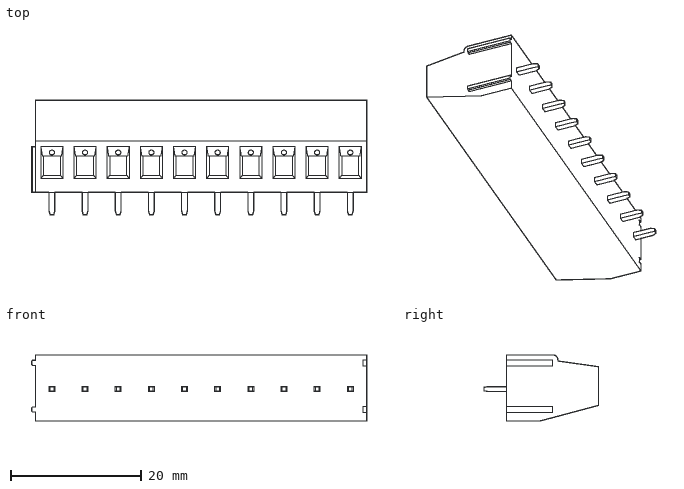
import cadquery as cq

OVERALL_LENGTH = 51.4
RIB_OUT = 0.55
LENGTH = OVERALL_LENGTH - RIB_OUT
CELL_COUNT = 10
CELL_PITCH = LENGTH / CELL_COUNT
DEPTH = 14.15
HEIGHT = 10.2

SHOULDER_Y = 7.9
SHOULDER_RADIUS = 0.75
SHOULDER_DROP = 0.9
BACK_TOP_Z = 8.4
BACK_BOTTOM_Z = 2.4
UNDERSIDE_FLAT = 5.1

RIB_HEIGHT = 0.8
RIB_LENGTH = 7.05
RIB_CHAMFER = 0.15
RIB_LEVELS = (1.8, 8.95)
SLOT_CLEARANCE = 0.05

POCKET_WIDTH = 3.4
POCKET_FRONT_Y = 2.15
POCKET_BACK_Y = 7.05
POCKET_DEPTH = 1.35
POCKET_SIDE_INSET = 0.4
POCKET_FRONT_INSET = 0.45

LEDGE_FRONT_Y = 5.6
LEDGE_DROP = 0.75
STUD_Y = 6.15
STUD_RADIUS = 0.4
STUD_SINK = 0.1

PIN_WIDTH = 0.9
PIN_HEIGHT = 0.75
PIN_LENGTH = 3.45
PIN_TIP_LENGTH = 0.6
PIN_TIP_SIZE = 0.55
PIN_Z = 4.95


def housing():
    """Extrude the side profile along X."""
    profile = (
        cq.Workplane("YZ")
        .moveTo(0, 0)
        .lineTo(UNDERSIDE_FLAT, 0)
        .lineTo(DEPTH, BACK_BOTTOM_Z)
        .lineTo(DEPTH, BACK_TOP_Z)
        .lineTo(SHOULDER_Y, HEIGHT - SHOULDER_DROP)
        .lineTo(SHOULDER_Y, HEIGHT - SHOULDER_RADIUS)
        .radiusArc((SHOULDER_Y - SHOULDER_RADIUS, HEIGHT), -SHOULDER_RADIUS)
        .lineTo(0, HEIGHT)
        .close()
    )
    return profile.extrude(LENGTH)


def joining_rib(z):
    """Rib with its long outer edges broken, standing on the -X end."""
    rib = cq.Workplane("XY").box(RIB_OUT, RIB_LENGTH, RIB_HEIGHT)
    rib = rib.faces("<X").edges("|Y").chamfer(RIB_CHAMFER)
    return rib.translate((-RIB_OUT / 2, RIB_LENGTH / 2, z))


def joining_slot(z):
    """Cutter for a slot in the +X end that takes the rib of a neighbouring block."""
    height = RIB_HEIGHT + SLOT_CLEARANCE
    slot = cq.Workplane("XY").box(RIB_OUT, RIB_LENGTH, height)
    return slot.translate((LENGTH - RIB_OUT / 2, RIB_LENGTH / 2, z))


def pocket(x):
    """Cutter for a tapered pocket that leaves the sloping ledge and its stud standing."""
    floor_z = HEIGHT - POCKET_DEPTH
    half_top = POCKET_WIDTH / 2
    half_floor = half_top - POCKET_SIDE_INSET
    opening = [
        (-half_top, POCKET_FRONT_Y),
        (half_top, POCKET_FRONT_Y),
        (half_top, POCKET_BACK_Y),
        (-half_top, POCKET_BACK_Y),
    ]
    floor_front_y = POCKET_FRONT_Y + POCKET_FRONT_INSET
    floor = [
        (-half_floor, floor_front_y),
        (half_floor, floor_front_y),
        (half_floor, POCKET_BACK_Y),
        (-half_floor, POCKET_BACK_Y),
    ]
    taper = (
        cq.Workplane("XY", origin=(0, 0, HEIGHT))
        .polyline(opening)
        .close()
        .workplane(offset=-POCKET_DEPTH)
        .polyline(floor)
        .close()
        .loft(ruled=True)
    )
    ledge = (
        cq.Workplane("YZ")
        .moveTo(POCKET_BACK_Y, HEIGHT)
        .lineTo(LEDGE_FRONT_Y, HEIGHT - LEDGE_DROP)
        .lineTo(LEDGE_FRONT_Y, floor_z)
        .lineTo(POCKET_BACK_Y, floor_z)
        .close()
        .extrude(half_top, both=True)
    )
    slope = LEDGE_DROP / (POCKET_BACK_Y - LEDGE_FRONT_Y)
    stud_z = HEIGHT - slope * (POCKET_BACK_Y - STUD_Y) - STUD_SINK
    stud = cq.Workplane("YZ").sphere(STUD_RADIUS).translate((0, STUD_Y, stud_z))
    return taper.cut(ledge).cut(stud).translate((x, 0, 0))


def pin(x):
    """Rectangular pin with a tapered tip, pointing toward -Y."""
    shank_length = PIN_LENGTH - PIN_TIP_LENGTH
    shank = cq.Workplane("XZ").rect(PIN_WIDTH, PIN_HEIGHT).extrude(shank_length)
    tip = (
        cq.Workplane("XZ", origin=(0, -shank_length, 0))
        .rect(PIN_WIDTH, PIN_HEIGHT)
        .workplane(offset=PIN_TIP_LENGTH)
        .rect(PIN_TIP_SIZE, PIN_TIP_SIZE)
        .loft(ruled=True)
    )
    return shank.union(tip).translate((x, 0, PIN_Z))


result = housing()

for level in RIB_LEVELS:
    result = result.union(joining_rib(level)).cut(joining_slot(level))

for cell in range(CELL_COUNT):
    cell_x = (cell + 0.5) * CELL_PITCH
    result = result.cut(pocket(cell_x)).union(pin(cell_x))